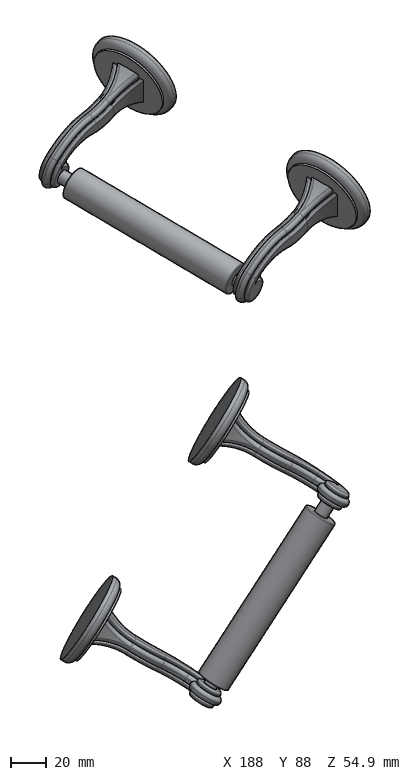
import cadquery as cq
import math

overall_width = 188.0
plate_diameter = 54.9
plate_radius = plate_diameter / 2
bracket_spacing = overall_width - plate_diameter
reach = 88.0

plate_rim_depth = 2.3
plate_shoulder_radius = 4.3
plate_depth = 7.9
plate_face_radius = 23.5

disc_radius = 10.0
disc_depth = reach - disc_radius
disc_height = -6.0

neck_depth = 29.0
neck_half_height = 7.7
base_half_height = 13.3
crest_depth = 59.5
crest_height = 13.3
arch_depth = 65.5
arch_height = 2.6
arch_inner_radius = 16.7
arch_share = 0.42

bead_half_width = 2.5
bead_round = 2.3
ridge_width = 2.8
ridge_round = 1.3
ridge_inset = 2.3
arm_half_width = bead_half_width + ridge_width
flare_gain = 5.3

rod_radius = 4.1
rod_length = bracket_spacing - 2 * arm_half_width
roller_diameter = 19.4
roller_length = 112.0
roller_offset = 2.5
roller_edge_round = 0.5


def arc_radius(run, rise):
    """Radius of an arc that starts level and ends `run` along and `rise` up."""
    return (run**2 + rise**2) / (2 * rise)


def arm_outline(inset):
    """Closed arm outline, shrunk by `inset`, on the YZ plane with local X = Y."""
    flare_run = neck_depth - plate_depth
    flare_radius = arc_radius(flare_run, base_half_height - neck_half_height)
    base_rise = flare_radius + inset - math.sqrt((flare_radius + inset)**2 - flare_run**2)
    neck = neck_half_height - inset
    base = neck + base_rise

    top_run = crest_depth - neck_depth
    top_rise = crest_height - neck_half_height
    top_radius = arc_radius(top_run, top_rise) / 2
    top_turn = math.asin(top_run / 2 / top_radius)

    crest_centre_height = crest_height - top_radius
    lift = disc_height - crest_centre_height
    span = reach - crest_depth
    front_radius = (top_radius**2 - span**2 - lift**2) / (2 * (top_radius - span))
    front_turn = math.atan2(span - front_radius, lift)

    bottom_run = arch_depth - neck_depth
    bottom_rise = arch_height + neck_half_height
    radii_sum = arc_radius(bottom_run, bottom_rise)
    arch_radius = radii_sum * arch_share
    hollow_radius = radii_sum - arch_radius
    bottom_turn = math.asin(bottom_run / radii_sum)

    inner_radius = arch_inner_radius + inset
    inner_centre_height = arch_height - arch_inner_radius
    inner_turn = math.asin((disc_depth - arch_depth) / inner_radius)

    def arc_point(centre_depth, centre_height, radius, angle):
        """Point on an arc, `angle` from straight up, leaning away from the wall."""
        return (-(centre_depth + radius * math.sin(angle)), centre_height + radius * math.cos(angle))

    def crest_point(angle):
        return arc_point(crest_depth, crest_centre_height, top_radius - inset, angle)

    def saddle_point(angle):
        return arc_point(neck_depth, neck_half_height + top_radius, -top_radius - inset, angle)

    def front_point(angle):
        return arc_point(reach - front_radius, disc_height, front_radius - inset, angle)

    def inner_point(angle):
        return arc_point(arch_depth, inner_centre_height, inner_radius, angle)

    def arch_point(angle):
        return arc_point(arch_depth, arch_height - arch_radius, arch_radius + inset, angle)

    def hollow_point(angle):
        return arc_point(neck_depth, hollow_radius - neck_half_height, inset - hollow_radius, angle)

    def flare_point(fraction, side):
        run = flare_run * fraction
        radius = flare_radius + inset
        return (-(neck_depth - run), side * (neck + radius - math.sqrt(radius**2 - run**2)))

    upright = math.pi / 2
    return (
        cq.Workplane("YZ")
        .moveTo(-plate_depth, base)
        .threePointArc(flare_point(0.5, 1), (-neck_depth, neck))
        .threePointArc(saddle_point(-top_turn / 2), crest_point(-top_turn))
        .threePointArc(crest_point(0), crest_point(front_turn))
        .threePointArc(front_point((front_turn + upright) / 2), front_point(upright))
        .lineTo(-disc_depth, disc_height)
        .lineTo(*inner_point(inner_turn))
        .threePointArc(inner_point(inner_turn / 2), inner_point(0))
        .threePointArc(arch_point(-bottom_turn / 2), arch_point(-bottom_turn))
        .threePointArc(hollow_point(-bottom_turn / 2), (-neck_depth, -neck))
        .threePointArc(flare_point(0.5, -1), (-plate_depth, -base))
        .close()
    )


def flared_plan(half_width):
    """Tall block that flares toward the plate; blocks of any half width flare about the same centres."""
    run = neck_depth - plate_depth
    radius = arc_radius(run, flare_gain) + arm_half_width - half_width
    mid_half = half_width + radius - math.sqrt(radius**2 - (run / 2)**2)
    base_half = half_width + radius - math.sqrt(radius**2 - run**2)
    mid_depth = neck_depth - run / 2
    return (
        cq.Workplane("XY")
        .moveTo(base_half, -plate_depth)
        .threePointArc((mid_half, -mid_depth), (half_width, -neck_depth))
        .lineTo(half_width, -reach)
        .lineTo(-half_width, -reach)
        .lineTo(-half_width, -neck_depth)
        .threePointArc((-mid_half, -mid_depth), (-base_half, -plate_depth))
        .close()
        .extrude(plate_radius, both=True)
    )


def long_edges(body):
    """Edges running along the arm, leaving out the base, the crosswise and the hidden end edges."""
    tolerance = 0.02
    chosen = []
    for edge in body.edges().vals():
        box = edge.BoundingBox()
        crosswise = box.ylen < tolerance
        end_edge = box.zlen < tolerance
        if not crosswise and not end_edge:
            chosen.append(edge)
    return body.newObject(chosen)


def rounded_layer(body, radius):
    """Layer of the arm with all its long edges rounded."""
    return long_edges(body).fillet(radius)


def scroll_disc(start, width, radius, edge_round):
    """Round-edged disc from x = start, facing along X."""
    return (
        cq.Workplane("YZ", origin=(start, -disc_depth, disc_height))
        .circle(radius)
        .extrude(width)
        .edges()
        .fillet(edge_round)
    )


def make_bead():
    """Central layer of the arm, with its scroll disc."""
    profile = arm_outline(0).extrude(plate_radius, both=True)
    arm = rounded_layer(profile.intersect(flared_plan(bead_half_width)), bead_round)
    disc = scroll_disc(-bead_half_width, 2 * bead_half_width, disc_radius, bead_round)
    return arm.union(disc)


def make_ridge():
    """Side layer on the +X side of the bead, with its scroll disc."""
    profile = arm_outline(ridge_inset).extrude(plate_radius)
    strip = profile.intersect(flared_plan(arm_half_width)).cut(flared_plan(bead_half_width))
    arm = rounded_layer(strip, ridge_round)
    disc = scroll_disc(bead_half_width, ridge_width, disc_radius - ridge_inset, ridge_round)
    return arm.union(disc)


def make_plate():
    """Round wall plate, turned about the Y axis."""
    shoulder_centre = plate_radius - plate_shoulder_radius
    shoulder_turn = math.acos((plate_face_radius - shoulder_centre) / plate_shoulder_radius)

    def shoulder_point(turn):
        return (
            shoulder_centre + plate_shoulder_radius * math.cos(turn),
            -plate_rim_depth - plate_shoulder_radius * math.sin(turn),
        )

    return (
        cq.Workplane("XY")
        .lineTo(plate_radius, 0)
        .lineTo(plate_radius, -plate_rim_depth)
        .threePointArc(shoulder_point(shoulder_turn / 2), shoulder_point(shoulder_turn))
        .lineTo(plate_face_radius, -plate_depth)
        .lineTo(0, -plate_depth)
        .close()
        .revolve(360, (0, 0, 0), (0, 1, 0))
    )


def make_bracket():
    """Wall plate and arm in one piece."""
    ridge = make_ridge()
    return make_plate().union(make_bead()).union(ridge).union(ridge.mirror("YZ"))


def rod_cylinder(radius, length, centre):
    """Cylinder on the rod axis, centred at x = centre."""
    return (
        cq.Workplane("YZ", origin=(centre - length / 2, -disc_depth, disc_height))
        .circle(radius)
        .extrude(length)
    )


def make_rod():
    """Rod butting against the inner faces of both brackets."""
    return rod_cylinder(rod_radius, rod_length, 0)


def make_roller():
    """Roller bored through to fit the rod."""
    roller = rod_cylinder(roller_diameter / 2, roller_length, roller_offset).edges().fillet(roller_edge_round)
    return roller.cut(make_rod())


bracket = make_bracket()
brackets = [bracket.translate((side * bracket_spacing / 2, 0, 0)) for side in (-1, 1)]
rod = make_rod()
roller = make_roller()

result = cq.Compound.makeCompound([*[b.val() for b in brackets], rod.val(), roller.val()])